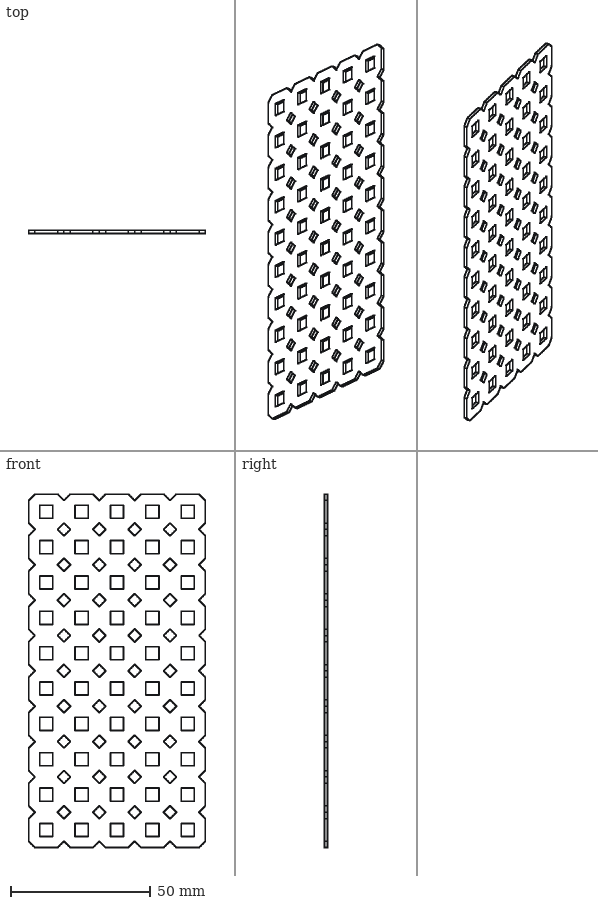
import cadquery as cq
import math

pitch = 12.7
columns = 5
rows = 10
thickness = 1.17
square_hole = 4.623
diamond_width = 4.56
diamond_angle = 45

width = columns * pitch
height = rows * pitch
diamond_side = diamond_width / math.sqrt(2)


def plate_blank():
    return cq.Workplane("XY").box(width, thickness, height)


def grid_cutter(side, x_count, z_count, angle=0):
    """Square prisms along Y on a centred grid, each turned by angle."""
    cell = cq.Sketch().rect(side, side, angle=angle)
    return (
        cq.Workplane("XZ")
        .rarray(pitch, pitch, x_count, z_count)
        .placeSketch(cell)
        .extrude(thickness, both=True)
    )


def square_holes():
    return grid_cutter(square_hole, columns, rows)


def diamond_cuts():
    """Diamonds on all cell corners: holes inside, notches on the edges, bevels at the plate corners."""
    return grid_cutter(diamond_side, columns + 1, rows + 1, diamond_angle)


result = plate_blank().cut(square_holes()).cut(diamond_cuts())